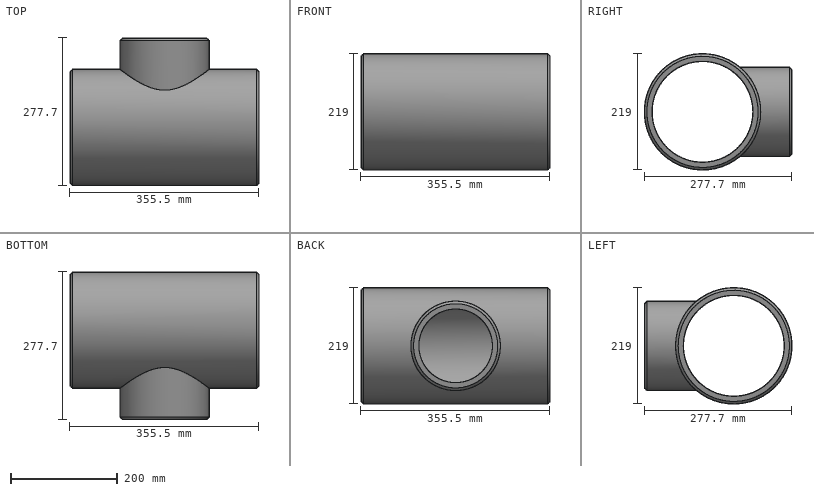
import cadquery as cq

run_length = 355.5
run_diameter = 219.0
run_bore = 189.2
branch_diameter = 168.2
branch_wall = 15.0
branch_reach = 168.2
end_chamfer = 5.0

branch_bore = branch_diameter - 2 * branch_wall


def run_cylinder(diameter):
    """Cylinder along X, centred on the origin."""
    return cq.Workplane("YZ").circle(diameter / 2).extrude(run_length / 2, both=True)


def branch_cylinder(diameter):
    """Cylinder along +Y, from the run axis to the branch end face."""
    return cq.Workplane("XZ").circle(diameter / 2).extrude(-branch_reach)


run = run_cylinder(run_diameter).faces("<X or >X").chamfer(end_chamfer)
branch = branch_cylinder(branch_diameter).faces(">Y").chamfer(end_chamfer)

result = run.union(branch).cut(run_cylinder(run_bore)).cut(branch_cylinder(branch_bore))